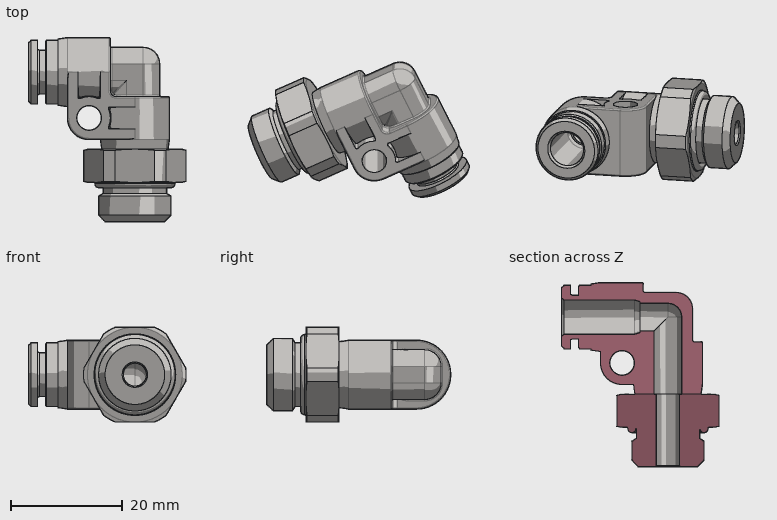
import cadquery as cq
import math


SLEEVE_RADIUS = 6.2
SLEEVE_START = 4.38
SLEEVE_END = 12.1
TAPER_END = 13.8
TAPER_END_RADIUS = 5.95
EDGE_ROUND = 0.25

HOLE_OFFSET = 8.2
HOLE_DIAMETER = 4.35
INNER_CORNER_RADIUS = 1.0
PLATE_CORNER_RADIUS = SLEEVE_END - HOLE_OFFSET

BEND_HALF_WIDTH = 4.46
BEND_ROUND = 3.0
BEND_ROOT_FILLET = 0.25
BEND_OVERLAP = 1.0

POCKET_WIDTH = 4.0
POCKET_WALL_RADIUS = 3.8
POCKET_CORNER_RADIUS = 0.3
POCKET_DEEP_END = 4.95
POCKET_DEPTH = 3.0
POCKET_DRAFT = 5.0

COLLAR_RADIUS = 5.72
COLLAR_FACE = 16.05
COLLAR_BEVEL = 0.25
NECK_RADIUS = 3.94
NECK_ROOT = 17.1
FLANGE_FACE = 17.4
FLANGE_ROOT_RADIUS = 4.1
TUBE_FACE = 19.09
FLANGE_CHAMFER = 0.5

TUBE_BORE_RADIUS = 3.05
TUBE_BORE_MOUTH_RADIUS = 3.42
TUBE_BORE_MOUTH = 0.5
TUBE_STOP = 5.0
TUBE_SEAT_TAPER = 1.0
TUBE_SEAT_RADIUS = 2.75
FLOW_RADIUS = 2.45

HEX_FLATS = 17.0
HEX_CORNER_RADIUS = 9.2
HEX_LENGTH = 5.95
HEX_CHAMFER_LENGTH = 0.2
LIP_RADIUS = 7.32
LIP_LENGTH = 0.22
RING_OUTER_RADIUS = 7.2
RING_SECTION_RADIUS = 0.74
STUD_NECK_RADIUS = 5.72
STUD_NECK_END = 21.7
THREAD_RADIUS = 6.5
THREAD_START = 22.2
THREAD_CHAMFER_LENGTH = 1.2
THREAD_TIP_RADIUS = 5.34
STUD_FACE = 26.8
STUD_BORE_RADIUS = 2.05
STUD_BORE_CHAMFER = 0.22

HEX_START = TAPER_END
HEX_END = HEX_START + HEX_LENGTH


def swap_limbs(shape):
    """Half turn about the diagonal, which swaps the X and Y limbs."""
    return shape.rotate((0, 0, 0), (1, 1, 0), 180)


def tube_limb_turning(points):
    """Solid of revolution about X from (distance along -X, radius) points."""
    profile = [(-distance, radius) for distance, radius in points]
    return cq.Workplane("XY").polyline(profile).close().revolve(360, (0, 0), (1, 0))


def limb_shell():
    """Sleeve of the tube limb with the taper at its outer end."""
    sleeve = tube_limb_turning([
        (SLEEVE_START, 0),
        (SLEEVE_START, SLEEVE_RADIUS),
        (SLEEVE_END, SLEEVE_RADIUS),
        (TAPER_END, TAPER_END_RADIUS),
        (TAPER_END, 0),
    ])
    return sleeve.faces(">X").edges().fillet(EDGE_ROUND)


def mounting_plate():
    """L-shaped plate that fills the corner between the two sleeves."""
    outline = (
        cq.Workplane("XY")
        .workplane(offset=-SLEEVE_RADIUS)
        .moveTo(-SLEEVE_END, 0)
        .lineTo(-SLEEVE_START, 0)
        .lineTo(-SLEEVE_START, -SLEEVE_START)
        .lineTo(0, -SLEEVE_START)
        .lineTo(0, -SLEEVE_END)
        .lineTo(-SLEEVE_END, -SLEEVE_END)
        .close()
        .extrude(2 * SLEEVE_RADIUS)
    )
    outer_corner = cq.selectors.NearestToPointSelector((-SLEEVE_END, -SLEEVE_END, 0))
    inner_corner = cq.selectors.NearestToPointSelector((-SLEEVE_START, -SLEEVE_START, 0))
    plate = outline.edges("|Z").edges(outer_corner).fillet(PLATE_CORNER_RADIUS)
    plate = plate.edges("|Z").edges(inner_corner).fillet(INNER_CORNER_RADIUS)
    near = -SLEEVE_END - EDGE_ROUND
    far = -SLEEVE_START + EDGE_ROUND
    top = SLEEVE_RADIUS + EDGE_ROUND
    limb_ends = cq.selectors.BoxSelector((near, -EDGE_ROUND, -top), (far, EDGE_ROUND, top))
    stud_ends = cq.selectors.BoxSelector((-EDGE_ROUND, near, -top), (EDGE_ROUND, far, top))
    rim = cq.selectors.SubtractSelector(cq.StringSyntaxSelector("#Z"), limb_ends + stud_ends)
    return plate.edges(rim).fillet(EDGE_ROUND)


def pocket():
    """Relief pocket beside the mounting hole, stopping at the tube sleeve."""
    half = POCKET_WIDTH / 2
    wall_crest = HOLE_OFFSET - POCKET_WALL_RADIUS
    prism = (
        cq.Workplane("XY")
        .workplane(offset=SLEEVE_RADIUS)
        .center(-HOLE_OFFSET, 0)
        .moveTo(-half, 0)
        .lineTo(-half, -POCKET_DEEP_END)
        .threePointArc((0, -wall_crest), (half, -POCKET_DEEP_END))
        .lineTo(half, 0)
        .close()
        .extrude(-POCKET_DEPTH, taper=POCKET_DRAFT)
    )
    wall_corners = cq.selectors.BoxSelector(
        (-HOLE_OFFSET - half - POCKET_CORNER_RADIUS, -POCKET_DEEP_END - POCKET_CORNER_RADIUS, 0),
        (-HOLE_OFFSET + half + POCKET_CORNER_RADIUS, -wall_crest, SLEEVE_RADIUS),
    )
    sloping = cq.StringSyntaxSelector("not (#Z)")
    prism = prism.edges(cq.selectors.AndSelector(sloping, wall_corners)).fillet(POCKET_CORNER_RADIUS)
    return prism.cut(limb_shell())


def bend_leg():
    """Rounded leg of the bend along the tube limb, closed by a rounded end."""
    start = -SLEEVE_START - BEND_OVERLAP
    length = BEND_HALF_WIDTH - start
    width = 2 * BEND_HALF_WIDTH
    leg = cq.Workplane("XY").box(length, width, width).translate((start + length / 2, 0, 0))
    return leg.edges("|X or >X").fillet(BEND_ROUND)


def bend_root_selectors():
    """Selectors for the edges where each bend leg leaves its sleeve."""
    reach = BEND_HALF_WIDTH + BEND_ROOT_FILLET / 2
    near = -SLEEVE_START - BEND_ROOT_FILLET / 2
    far = -SLEEVE_START + BEND_ROOT_FILLET / 2
    return [
        cq.selectors.BoxSelector((near, -reach, -reach), (far, reach, reach), boundingbox=True),
        cq.selectors.BoxSelector((-reach, near, -reach), (reach, far, reach), boundingbox=True),
    ]


def tube_collar():
    """Collar that holds the tube, with its neck and release flange."""
    return tube_limb_turning([
        (TAPER_END, 0),
        (TAPER_END, COLLAR_RADIUS),
        (COLLAR_FACE - COLLAR_BEVEL, COLLAR_RADIUS),
        (COLLAR_FACE, COLLAR_RADIUS - COLLAR_BEVEL),
        (COLLAR_FACE, NECK_RADIUS),
        (NECK_ROOT, NECK_RADIUS),
        (FLANGE_FACE, FLANGE_ROOT_RADIUS),
        (FLANGE_FACE, COLLAR_RADIUS),
        (TUBE_FACE - FLANGE_CHAMFER, COLLAR_RADIUS),
        (TUBE_FACE, COLLAR_RADIUS - FLANGE_CHAMFER),
        (TUBE_FACE, 0),
    ])


def elbow_bores():
    """Tube socket and the flow passages, which meet in a ball-shaped corner."""
    tube_bore = tube_limb_turning([
        (0, 0),
        (0, FLOW_RADIUS),
        (TUBE_STOP, FLOW_RADIUS),
        (TUBE_STOP, TUBE_SEAT_RADIUS),
        (TUBE_STOP + TUBE_SEAT_TAPER, TUBE_BORE_RADIUS),
        (TUBE_FACE - TUBE_BORE_MOUTH, TUBE_BORE_RADIUS),
        (TUBE_FACE, TUBE_BORE_MOUTH_RADIUS),
        (TUBE_FACE, 0),
    ])
    stud_bore = cq.Workplane("XZ").circle(FLOW_RADIUS).extrude(TAPER_END)
    return tube_bore.union(stud_bore).union(cq.Workplane("XY").sphere(FLOW_RADIUS))


def make_elbow():
    """Elbow body, symmetric above and below the plane of its limbs."""
    sleeves = limb_shell().union(swap_limbs(limb_shell())).union(mounting_plate())
    leg = bend_leg()
    body = sleeves.union(leg).union(swap_limbs(leg))
    for limb_root in bend_root_selectors():
        body = body.edges(limb_root).fillet(BEND_ROOT_FILLET)
    body = body.union(tube_collar())
    upper = pocket()
    lower = upper.mirror("XY")
    for cutter in (upper, lower):
        body = body.cut(cutter).cut(swap_limbs(cutter))
    hole = (
        cq.Workplane("XY")
        .center(-HOLE_OFFSET, -HOLE_OFFSET)
        .circle(HOLE_DIAMETER / 2)
        .extrude(SLEEVE_RADIUS, both=True)
    )
    return body.cut(hole).cut(elbow_bores())


def stud_turning(profile):
    """Solid of revolution about Y from an open profile that starts and ends on the axis."""
    return profile.close().revolve(360, (0, 0), (0, 1))


def hex_collar():
    """Hexagon with turned corners and chamfered ends."""
    across_corners = HEX_FLATS / math.cos(math.pi / 6)
    prism = (
        cq.Workplane("XZ")
        .workplane(offset=HEX_START)
        .polygon(6, across_corners)
        .extrude(HEX_LENGTH)
    )
    corner_rounding = stud_turning(
        cq.Workplane("XY").polyline([
            (0, -HEX_START),
            (HEX_FLATS / 2, -HEX_START),
            (HEX_CORNER_RADIUS, -HEX_START - HEX_CHAMFER_LENGTH),
            (HEX_CORNER_RADIUS, -HEX_END + HEX_CHAMFER_LENGTH),
            (HEX_FLATS / 2, -HEX_END),
            (0, -HEX_END),
        ])
    )
    return prism.intersect(corner_rounding)


def make_stud():
    """Threaded stud: hexagon, sealing ring, neck, thread and bore."""
    ring_start = -HEX_END - LIP_LENGTH
    ring_centre = RING_OUTER_RADIUS - RING_SECTION_RADIUS
    shank = stud_turning(
        cq.Workplane("XY")
        .moveTo(0, -HEX_END)
        .lineTo(LIP_RADIUS, -HEX_END)
        .lineTo(RING_OUTER_RADIUS, ring_start)
        .threePointArc(
            (ring_centre, ring_start - RING_SECTION_RADIUS),
            (ring_centre - RING_SECTION_RADIUS, ring_start),
        )
        .lineTo(STUD_NECK_RADIUS, -STUD_NECK_END)
        .lineTo(THREAD_RADIUS, -THREAD_START)
        .lineTo(THREAD_RADIUS, -STUD_FACE + THREAD_CHAMFER_LENGTH)
        .lineTo(THREAD_TIP_RADIUS, -STUD_FACE)
        .lineTo(0, -STUD_FACE)
    )
    bore = stud_turning(
        cq.Workplane("XY").polyline([
            (0, -HEX_START),
            (STUD_BORE_RADIUS, -HEX_START),
            (STUD_BORE_RADIUS, -STUD_FACE + STUD_BORE_CHAMFER),
            (STUD_BORE_RADIUS + STUD_BORE_CHAMFER, -STUD_FACE),
            (0, -STUD_FACE),
        ])
    )
    return hex_collar().union(shank).cut(bore)


elbow = make_elbow()
stud = make_stud()

result = cq.Compound.makeCompound([elbow.val(), stud.val()])